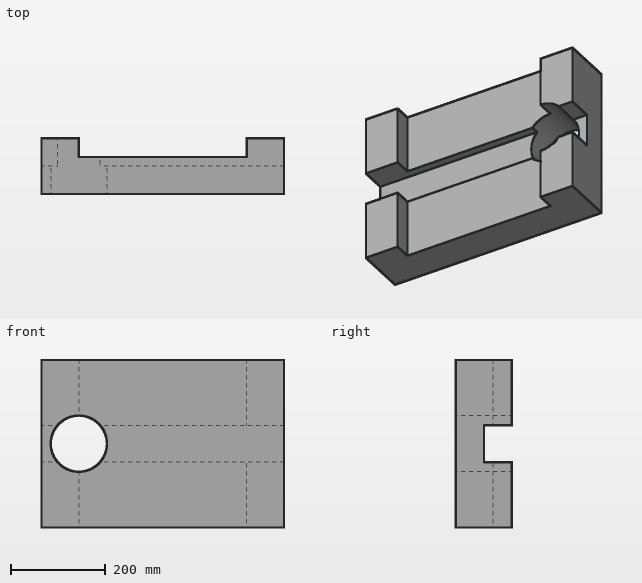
import cadquery as cq

length = 512.0
depth = 118.0
height = 354.0

pad_length = 79.0
channel_depth = 39.5

slot_width = 78.0
slot_depth = 58.5

hole_diameter = 118.0
hole_x = pad_length


def back_cut(size_x, cut_depth, size_z):
    """Box open to the back face, centred on the block in X and Z."""
    return (
        cq.Workplane("XY")
        .box(size_x, cut_depth, size_z)
        .translate((length / 2, depth - cut_depth / 2, height / 2))
    )


block = cq.Workplane("XY").box(length, depth, height, centered=False)
channel = back_cut(length - 2 * pad_length, channel_depth, height)
slot = back_cut(length, slot_depth, slot_width)

hole = (
    cq.Workplane("XZ")
    .center(hole_x, height / 2)
    .circle(hole_diameter / 2)
    .extrude(-depth)
)

result = block.cut(channel).cut(slot).cut(hole)